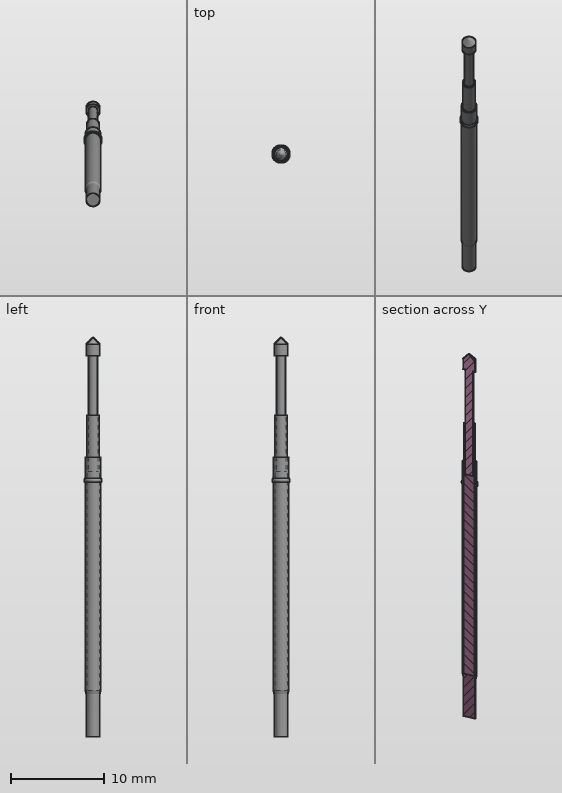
import cadquery as cq


overall_height = 42.85
barrel_top = 34.5
receptacle_top = 30.0
collar_height = 27.5
sleeve_bottom = 5.0
tail_top = 4.6
head_length = 1.25

head_diameter = 1.5
plunger_diameter = 1.0
plunger_bore_diameter = 1.02
barrel_diameter = 1.36
barrel_bore_diameter = 1.38
sleeve_diameter = 1.68
collar_diameter = 1.93
tail_diameter = 1.47

collar_half_width = 0.22

plunger_depth = 6.0
barrel_floor = sleeve_bottom

tip_height = head_diameter / 2
head_top = overall_height - tip_height
head_bottom = head_top - head_length
plunger_bottom = barrel_top - plunger_depth


def cylinder(diameter, bottom, top):
    """Solid cylinder on the Z axis between two heights."""
    return cq.Workplane("XY").workplane(offset=bottom).circle(diameter / 2).extrude(top - bottom)


def make_plunger():
    """Slim shaft that carries a wider head with a conical tip."""
    shaft_radius = plunger_diameter / 2
    head_radius = head_diameter / 2
    profile = (
        cq.Workplane("XZ")
        .moveTo(0, plunger_bottom)
        .lineTo(shaft_radius, plunger_bottom)
        .lineTo(shaft_radius, head_bottom)
        .lineTo(head_radius, head_bottom)
        .lineTo(head_radius, head_top)
        .lineTo(0, overall_height)
        .close()
    )
    return profile.revolve(360, (0, 0, 0), (0, 1, 0))


def make_barrel():
    """Plain cylinder with a blind bore for the plunger shaft."""
    bore = cylinder(plunger_bore_diameter, plunger_bottom, barrel_top)
    return cylinder(barrel_diameter, barrel_floor, barrel_top).cut(bore)


def make_receptacle():
    """Sleeve with a press-fit collar, a tapered shoulder and a solid tail, bored for the barrel."""
    tail_radius = tail_diameter / 2
    sleeve_radius = sleeve_diameter / 2
    collar_radius = collar_diameter / 2
    collar_lower_edge = collar_height - collar_half_width
    collar_upper_edge = collar_height + collar_half_width
    profile = (
        cq.Workplane("XZ")
        .lineTo(tail_radius, 0)
        .lineTo(tail_radius, tail_top)
        .lineTo(sleeve_radius, sleeve_bottom)
        .lineTo(sleeve_radius, collar_lower_edge)
        .threePointArc((collar_radius, collar_height), (sleeve_radius, collar_upper_edge))
        .lineTo(sleeve_radius, receptacle_top)
        .lineTo(0, receptacle_top)
        .close()
    )
    bore = cylinder(barrel_bore_diameter, barrel_floor, receptacle_top)
    return profile.revolve(360, (0, 0, 0), (0, 1, 0)).cut(bore)


plunger = make_plunger()
barrel = make_barrel()
receptacle = make_receptacle()

result = cq.Compound.makeCompound([plunger.val(), barrel.val(), receptacle.val()])